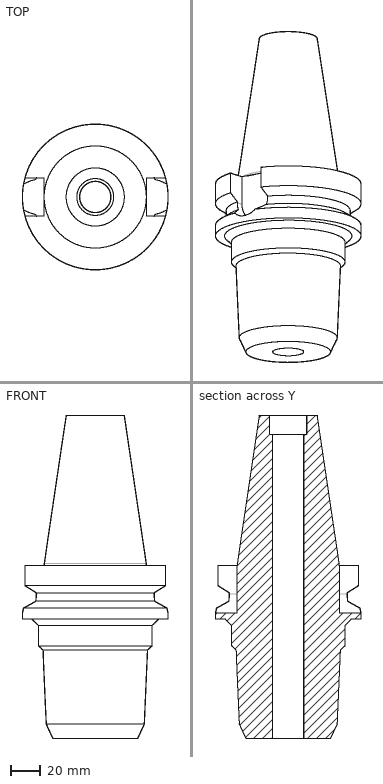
import cadquery as cq

total_length = 221.8

nose_tip_radius = 29.0
nose_chamfer_radius = 33.7
nose_chamfer_height = 10.0
nose_top_radius = 36.0
nose_top_z = 60.8

collar_radius = 39.0
collar_bottom_z = 63.7
collar_top_z = 77.6

flange_diameter = 100.0
flange_radius = flange_diameter / 2
flange_bottom_z = 82.0
flange_cone_radius = 43.7
flange_top_z = 118.9
groove_radius = 42.5
groove_bottom_z = 89.5
groove_floor_bottom_z = 94.3
groove_floor_top_z = 100.0
groove_top_z = 105.0

shank_base_radius = 35.0
taper_start_z = 120.2
shank_top_radius = 20.0

bore_radius = 10.6
counterbore_radius = 12.6
counterbore_depth = 13.0

slot_width = 26.2
slot_bottom_z = 86.3
slot_floor_x = 35.3


def make_body():
    """Revolve the half outline (radius, Z) about the Z axis."""
    outline = [
        (0, 0),
        (nose_tip_radius, 0),
        (nose_chamfer_radius, nose_chamfer_height),
        (nose_top_radius, nose_top_z),
        (collar_radius, collar_bottom_z),
        (collar_radius, collar_top_z),
        (flange_cone_radius, flange_bottom_z),
        (flange_radius, flange_bottom_z),
        (flange_radius, groove_bottom_z),
        (groove_radius, groove_floor_bottom_z),
        (groove_radius, groove_floor_top_z),
        (flange_radius, groove_top_z),
        (flange_radius, flange_top_z),
        (shank_base_radius, flange_top_z),
        (shank_base_radius, taper_start_z),
        (shank_top_radius, total_length),
        (0, total_length),
    ]
    return cq.Workplane("XZ").polyline(outline).close().revolve(360, (0, 0), (0, 1))


def make_drive_slot():
    """Cutter for the slot on the +X side, open at the flange top."""
    half_width = slot_width / 2
    arc_center_z = slot_bottom_z + half_width
    return (
        cq.Workplane("YZ", origin=(slot_floor_x, 0, 0))
        .moveTo(-half_width, flange_top_z)
        .lineTo(-half_width, arc_center_z)
        .threePointArc((0, slot_bottom_z), (half_width, arc_center_z))
        .lineTo(half_width, flange_top_z)
        .close()
        .extrude(flange_radius - slot_floor_x)
    )


def cut_bore(body):
    """Cut the through bore and its counterbore from the shank end."""
    return body.faces(">Z").workplane().cboreHole(
        2 * bore_radius, 2 * counterbore_radius, counterbore_depth
    )


result = cut_bore(make_body())
for side_angle in (0, 180):
    result = result.cut(make_drive_slot().rotate((0, 0, 0), (0, 0, 1), side_angle))